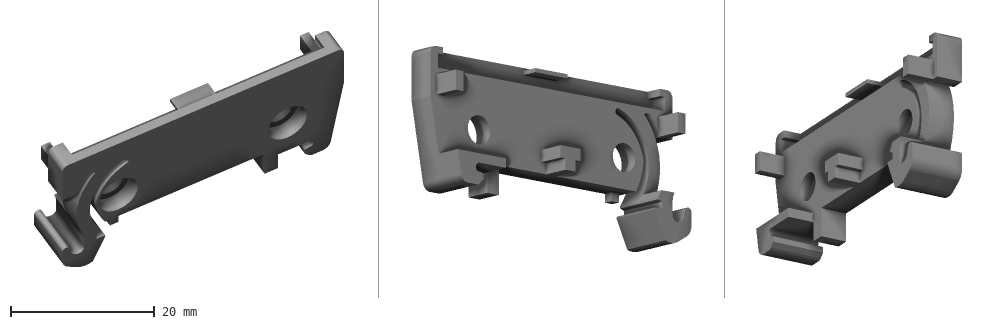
import cadquery as cq


length = 45.0
plate_thickness = 4.0
peg_reach = 4.0
plate_top = 15.3
catch_bottom = -7.5
half_length = length / 2

corner_radius = 1.0
taper_start = 8.0
taper_inset = 1.5
spring_end_bottom = 8.4

slot_top = 11.45
arm_bottom = -0.25
arm_mid_height = 4.05
body_edge_inset = 5.4
arm_inner_inset = 4.4
arm_outer_inset = 2.3

pocket_depth = 2.6
pocket_floor = 12.25
pocket_end_wall = 1.35
lip_bottom = 14.25
lip_end_wall = 2.35
tab_length = 6.05
tab_top = 14.85

hole_spacing = 27.0
hole_height = 4.5
hole_diameter = 4.15
counterbore_diameter = 6.2
counterbore_start = 1.5

peg_inset = 1.12
peg_width = 1.4
peg_height = 2.9
key_head_width = 3.7
key_stem_width = 1.9
key_top = 3.38
key_ledge = 1.6
leg_start = 10.58
leg_width = 2.1
leg_bottom = -4.25
stop_inset = 7.6
stop_width = 1.4
stop_bottom = -1.25
stop_thickness = stop_width

hook_bottom = -4.5
hook_arm_bottom = -1.35
hook_arm_end = 10.5


def spring_side(inset, z):
    """Point at a distance inward from the -Y end."""
    return inset - half_length, z


def hook_side(inset, z):
    """Point at a distance inward from the +Y end."""
    return half_length - inset, z


def block(x_range, y_range, z_range):
    """Box given by its lower and upper limit along each axis."""
    lows, highs = zip(x_range, y_range, z_range)
    sizes = [high - low for low, high in zip(lows, highs)]
    return cq.Workplane("XY").box(*sizes, centered=False).translate(lows)


def plate_with_arm():
    """Plate outline with the spring arm left standing between its two slots."""
    outline = (
        cq.Workplane("YZ")
        .moveTo(*spring_side(0, plate_top))
        .lineTo(*hook_side(0, plate_top))
        .lineTo(*hook_side(0, taper_start))
        .lineTo(*hook_side(taper_inset, 0))
        .lineTo(*spring_side(6.8, 0))
        .threePointArc(spring_side(5.9, 2.0), spring_side(body_edge_inset, 4.3))
        .threePointArc(spring_side(5.5, 5.2), spring_side(5.75, 5.95))
        .threePointArc(spring_side(7.4, 8.55), spring_side(10.1, 10.35))
        .threePointArc(spring_side(10.58, 11.0), spring_side(10.1, slot_top))
        .threePointArc(spring_side(arm_inner_inset, arm_mid_height), spring_side(5.55, arm_bottom))
        .lineTo(*spring_side(3.15, arm_bottom))
        .threePointArc(spring_side(arm_outer_inset, arm_mid_height), spring_side(2.45, 5.7))
        .threePointArc(spring_side(3.35, 8.5), spring_side(5.2, 11.2))
        .lineTo(*spring_side(5.05, slot_top))
        .lineTo(*spring_side(4.2, slot_top))
        .threePointArc(spring_side(3.05, 9.85), spring_side(2.3, spring_end_bottom))
        .lineTo(*spring_side(0, spring_end_bottom))
        .close()
    )
    plate = outline.extrude(plate_thickness)
    return plate.edges("|X and >Z").fillet(corner_radius)


def full_width(outline):
    """Extrude a closed YZ outline over the pegs' reach and the plate thickness."""
    return outline.extrude(peg_reach + plate_thickness).translate((-peg_reach, 0, 0))


def spring_catch():
    """Barbed catch with a finger hook at the free end of the spring arm."""
    barb_ledge = -2.9
    finger_base = -4.5
    outline = (
        cq.Workplane("YZ")
        .moveTo(*spring_side(5.55, arm_bottom))
        .lineTo(*spring_side(6.15, -1.35))
        .lineTo(*spring_side(6.15, -1.65))
        .lineTo(*spring_side(5.5, -1.9))
        .lineTo(*spring_side(5.5, barb_ledge))
        .lineTo(*spring_side(6.65, barb_ledge))
        .lineTo(*spring_side(6.9, -2.95))
        .lineTo(*spring_side(6.85, -3.2))
        .lineTo(*spring_side(4.85, -7.35))
        .threePointArc(spring_side(3.8, catch_bottom), spring_side(2.65, -7.3))
        .lineTo(*spring_side(0.75, -6.1))
        .threePointArc(spring_side(0.22, -5.45), spring_side(0, finger_base))
        .lineTo(*spring_side(0, -2.65))
        .threePointArc(spring_side(0.6, -2.02), spring_side(1.15, -2.45))
        .lineTo(*spring_side(1.45, -3.55))
        .threePointArc(spring_side(2.0, -4.2), spring_side(2.45, -4.35))
        .lineTo(*spring_side(2.8, -4.35))
        .threePointArc(spring_side(3.3, -4.15), spring_side(3.5, -3.5))
        .lineTo(*spring_side(3.5, -1.9))
        .threePointArc(spring_side(3.4, -1.0), spring_side(3.15, arm_bottom))
        .close()
    )
    return full_width(outline)


def fixed_hook():
    """Hook that continues the tapered plate end and opens toward -Y."""
    outline = (
        cq.Workplane("YZ")
        .moveTo(*hook_side(taper_inset, 0))
        .lineTo(*hook_side(2.1, -3.38))
        .threePointArc(hook_side(2.5, -4.15), hook_side(3.45, hook_bottom))
        .lineTo(*hook_side(5.2, hook_bottom))
        .lineTo(*hook_side(5.6, -4.28))
        .lineTo(*hook_side(6.25, -3.6))
        .lineTo(*hook_side(6.25, -2.9))
        .lineTo(*hook_side(6.08, -2.7))
        .lineTo(*hook_side(5.15, -2.55))
        .threePointArc(hook_side(4.9, -1.95), hook_side(5.7, hook_arm_bottom))
        .lineTo(*hook_side(hook_arm_end, hook_arm_bottom))
        .lineTo(*hook_side(hook_arm_end, 0))
        .close()
    )
    return full_width(outline)


def top_pocket():
    """Open pocket, narrowed by a lip at each end and bridged by a thin tab."""
    half_floor = half_length - pocket_end_wall
    half_mouth = half_length - lip_end_wall
    depth = (0, pocket_depth)
    pocket = block(depth, (-half_floor, half_floor), (pocket_floor, lip_bottom))
    mouth = block(depth, (-half_mouth, half_mouth), (lip_bottom, plate_top))
    tab = block(depth, (-tab_length / 2, tab_length / 2), (lip_bottom, tab_top))
    return pocket.union(mouth).cut(tab)


def screw_holes():
    """Stepped bores on both sides of the middle."""
    centers = [(-hole_spacing / 2, hole_height), (hole_spacing / 2, hole_height)]
    plane = cq.Workplane("YZ").pushPoints(centers)
    bores = plane.circle(hole_diameter / 2).extrude(plate_thickness)
    plane = cq.Workplane("YZ", origin=(counterbore_start, 0, 0)).pushPoints(centers)
    wide_bores = plane.circle(counterbore_diameter / 2).extrude(plate_thickness - counterbore_start)
    return bores.union(wide_bores)


def end_pegs():
    """Rectangular peg near each end of the plate."""
    outer = half_length - peg_inset
    inner = outer - peg_width
    heights = (spring_end_bottom, spring_end_bottom + peg_height)
    reach = (-peg_reach, 0)
    return block(reach, (-outer, -inner), heights).union(block(reach, (inner, outer), heights))


def center_key():
    """T-shaped key standing on the plate's bottom edge line."""
    reach = (-peg_reach, 0)
    head = block(reach, (-key_head_width / 2, key_head_width / 2), (key_ledge, key_top))
    stem = block(reach, (-key_stem_width / 2, key_stem_width / 2), (0, key_ledge))
    return head.union(stem)


def leg():
    """Leg hanging from the plate beside the fixed hook."""
    outer = half_length - leg_start
    return block((0, plate_thickness), (outer - leg_width, outer), (leg_bottom, 0))


def stop():
    """Small square block under the +X side of the bottom edge, near the spring catch."""
    start = stop_inset - half_length
    depth = (plate_thickness - stop_thickness, plate_thickness)
    return block(depth, (start, start + stop_width), (stop_bottom, 0))


result = plate_with_arm().cut(top_pocket()).cut(screw_holes())
for feature in (end_pegs(), center_key(), leg(), stop(), fixed_hook(), spring_catch()):
    result = result.union(feature)